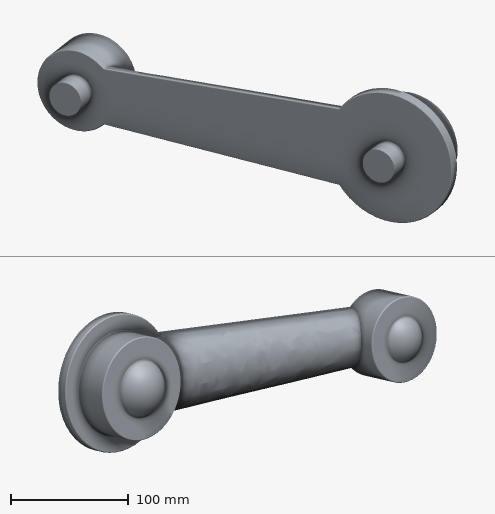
import cadquery as cq

CENTER_DISTANCE = 300.0
BODY_DEPTH = 40.0

SMALL_BOSS_RADIUS = 37.5
BIG_BOSS_RADIUS = 45.0
FLANGE_RADIUS = 60.0
FLANGE_THICKNESS = 10.0
EDGE_FILLET = 1.0

PIN_RADIUS = 15.0
PIN_LENGTH = 20.0

SMALL_DOME_RADIUS = 20.0
SMALL_DOME_HEIGHT = 10.0
BIG_DOME_RADIUS = 25.0
BIG_DOME_HEIGHT = 15.0

ARM_SMALL_HALF_WIDTH = 25.0
ARM_SMALL_HEIGHT = 26.0
ARM_BIG_HALF_WIDTH = 37.8
ARM_BIG_HEIGHT = 30.5

SMALL_X = 0
BIG_X = CENTER_DISTANCE


def cylinder(x, y_start, radius, length):
    """Cylinder along +Y that starts at y_start."""
    start = cq.Workplane("XZ", origin=(x, y_start, 0))
    return start.circle(radius).extrude(-length)


def dome(x, radius, height):
    """Spherical cap on the back face of a boss."""
    sphere_radius = (radius**2 + height**2) / (2 * height)
    center_y = BODY_DEPTH + height - sphere_radius
    ball = cq.Workplane("XY").sphere(sphere_radius).translate((x, center_y, 0))
    return ball.intersect(cylinder(x, BODY_DEPTH, radius, height))


def arm_section(workplane, half_width, height):
    """Half ellipse whose flat side lies on the front face."""
    return (
        workplane.moveTo(0, -half_width)
        .ellipseArc(height, half_width, -90, 90, startAtCurrent=True)
        .close()
    )


def arm():
    """Tapered arm lofted between the two boss axes, rounded along its front edges."""
    small_end = arm_section(cq.Workplane("YZ"), ARM_SMALL_HALF_WIDTH, ARM_SMALL_HEIGHT)
    big_plane = small_end.workplane(offset=CENTER_DISTANCE)
    big_end = arm_section(big_plane, ARM_BIG_HALF_WIDTH, ARM_BIG_HEIGHT)
    tapered_body = big_end.loft(ruled=True)
    long_front_edges = tapered_body.faces("<Y").edges(">Z or <Z")
    return long_front_edges.fillet(EDGE_FILLET)


def pin(x):
    """Sharp-edged pin standing out of the front face."""
    return cylinder(x, -PIN_LENGTH, PIN_RADIUS, PIN_LENGTH)


small_hub = (
    cylinder(SMALL_X, 0, SMALL_BOSS_RADIUS, BODY_DEPTH)
    .union(dome(SMALL_X, SMALL_DOME_RADIUS, SMALL_DOME_HEIGHT))
    .edges("%CIRCLE")
    .fillet(EDGE_FILLET)
)
big_hub = (
    cylinder(BIG_X, 0, FLANGE_RADIUS, FLANGE_THICKNESS)
    .union(cylinder(BIG_X, 0, BIG_BOSS_RADIUS, BODY_DEPTH))
    .union(dome(BIG_X, BIG_DOME_RADIUS, BIG_DOME_HEIGHT))
    .edges("%CIRCLE")
    .fillet(EDGE_FILLET)
)

result = arm().union(small_hub).union(big_hub).union(pin(SMALL_X)).union(pin(BIG_X))